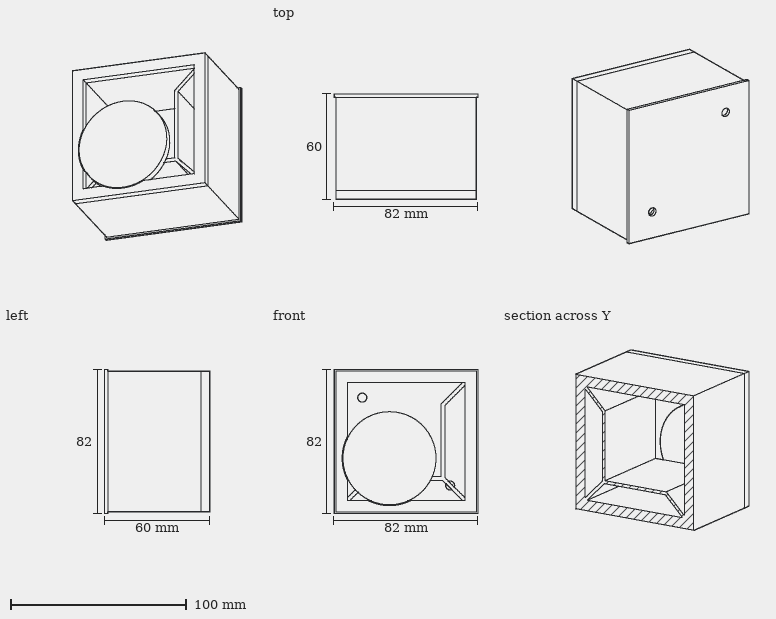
import cadquery as cq

cabinet_side = 80.0
wall_thickness = 6.5
opening_side = cabinet_side - 2 * wall_thickness
frame_depth = 5.0
housing_depth = 53.0

back_plate_side = 82.0
back_plate_thickness = 2.0
corner_hole_diameter = 5.0
corner_hole_offset = 25.0

disc_diameter = 53.0
disc_clearance = 0.5
disc_thickness = frame_depth
disc_offset = -9.5

baffle_thickness = 2.1
baffle_offset = 21.0

housing_front = frame_depth
housing_back = housing_front + housing_depth


def square_block(side, front, depth):
    """Square prism centred on the Y axis, running back from y = front."""
    return cq.Workplane("XY").box(side, depth, side).translate((0, front + depth / 2, 0))


def cylinder_along_y(diameter, x, z, front, depth):
    """Cylinder parallel to Y, running back from y = front."""
    axis = cq.Vector(0, 1, 0)
    return cq.Workplane(cq.Solid.makeCylinder(diameter / 2, depth, cq.Vector(x, front, z), axis))


def square_ring(front, depth):
    """Square tube with the cabinet's outer side and opening."""
    return square_block(cabinet_side, front, depth).cut(square_block(opening_side, front, depth))


def mitred_strip(path):
    """Full-depth baffle centred on a path of (x, z) points, with mitred bends and square ends."""
    half_thickness = baffle_thickness / 2
    points = [cq.Vector(x, z) for x, z in path]
    directions = [(end - start).normalized() for start, end in zip(points, points[1:])]
    left_side = []
    right_side = []
    for point, before, after in zip(points, directions[:1] + directions, directions + directions[-1:]):
        tangent = (before + after).normalized()
        normal = cq.Vector(-tangent.y, tangent.x)
        mitre = normal * (half_thickness / tangent.dot(after))
        left_side.append((point + mitre).toTuple()[:2])
        right_side.append((point - mitre).toTuple()[:2])
    outline = cq.Workplane("XZ", origin=(0, housing_front, 0)).polyline(left_side + right_side[::-1])
    return outline.close().extrude(-housing_depth)


def make_housing():
    """Square tube with an L-shaped baffle, tied to three of the tube's corners by diagonals."""
    bend = baffle_offset
    corner = opening_side / 2 + wall_thickness / 2
    baffle = mitred_strip([(corner, corner), (bend, bend), (bend, -bend), (-bend, -bend), (-corner, -corner)])
    corner_tie = mitred_strip([(bend, -bend), (corner, -corner)])
    return square_ring(housing_front, housing_depth).union(baffle).union(corner_tie)


def make_front_frame():
    seat_diameter = disc_diameter + 2 * disc_clearance
    seat = cylinder_along_y(seat_diameter, disc_offset, disc_offset, 0, disc_thickness)
    return square_ring(0, frame_depth).cut(seat)


def make_disc():
    return cylinder_along_y(disc_diameter, disc_offset, disc_offset, 0, disc_thickness)


def make_back_plate():
    plate = square_block(back_plate_side, housing_back, back_plate_thickness)
    for side in (-1, 1):
        x = side * corner_hole_offset
        plate = plate.cut(cylinder_along_y(corner_hole_diameter, x, -x, housing_back, back_plate_thickness))
    return plate


result = cq.Compound.makeCompound(
    [make_housing().val(), make_front_frame().val(), make_disc().val(), make_back_plate().val()]
)